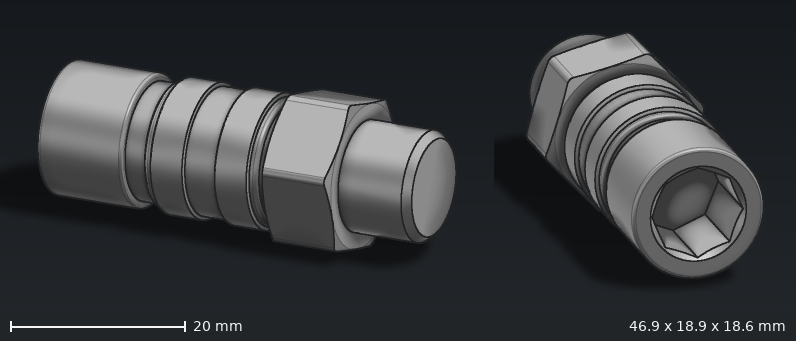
import cadquery as cq
import math

length = 46.9
sleeve_end = 10.9
collar_start = 13.45
band_width = 4.3
first_band_start = 14.5
second_band_start = 22.7
collar_end = 28.0
hex_start = 29.25
hex_end = 37.9

sleeve_diameter = 15.8
neck_diameter = 14.0
collar_diameter = 15.1
band_diameter = 16.05
spigot_diameter = 13.15
spigot_tip_diameter = 11.45

sleeve_rounding = 0.4
collar_rounding = 0.55
band_side_slope = 0.15
spigot_chamfer_length = 0.95

hex_sides = 6
hex_across_flats = 17.0
hex_corner_rounding = 1.0
hex_turn = -13.0
hex_end_diameter = 17.0
hex_chamfer_angle = 18.0

socket_sides = 8
socket_diameter = 10.85
socket_mouth_diameter = 11.45
socket_depth = 10.3
mouth_depth = 0.7


def cylinder(start, end, diameter):
    """Round bar along X between two places."""
    return cq.Workplane("YZ").workplane(offset=start).circle(diameter / 2).extrude(end - start)


def sleeve():
    """Plain end sleeve with both rims rounded."""
    return cylinder(0, sleeve_end, sleeve_diameter).edges().fillet(sleeve_rounding)


def collar():
    """Rounded collar carrying two raised bands with slightly sloping sides."""
    body = cylinder(collar_start, collar_end, collar_diameter).edges().fillet(collar_rounding)
    band_height = (band_diameter - collar_diameter) / 2
    for start in (first_band_start, second_band_start):
        band = cylinder(start, start + band_width, band_diameter)
        body = body.union(band.edges().chamfer(band_side_slope, band_height))
    return body


def hex_nut():
    """Hexagon with rounded corners and both ends bevelled by cones."""
    across_corners = hex_across_flats / math.cos(math.pi / hex_sides)
    width = hex_end - hex_start
    nut = (
        cq.Workplane("YZ")
        .workplane(offset=hex_start)
        .polygon(hex_sides, across_corners)
        .extrude(width)
        .edges("|X")
        .fillet(hex_corner_rounding)
        .rotate((0, 0, 0), (1, 0, 0), hex_turn)
    )
    bevel_height = (across_corners - hex_end_diameter) / 2
    bevel_length = bevel_height * math.tan(math.radians(hex_chamfer_angle))
    envelope = cylinder(hex_start, hex_end, across_corners).edges().chamfer(bevel_length, bevel_height)
    return nut.intersect(envelope)


def spigot():
    """Plain end bar with a bevelled tip."""
    bevel_height = (spigot_diameter - spigot_tip_diameter) / 2
    return (
        cylinder(hex_end, length, spigot_diameter)
        .faces(">X")
        .chamfer(spigot_chamfer_length, bevel_height)
    )


def socket():
    """Octagonal pocket with a conical lead-in that narrows to the octagon's inscribed circle."""
    inscribed_radius = socket_diameter / 2 * math.cos(math.pi / socket_sides)
    octagon = cq.Workplane("YZ").polygon(socket_sides, socket_diameter).extrude(socket_depth)
    mouth = (
        cq.Workplane("YZ")
        .circle(socket_mouth_diameter / 2)
        .workplane(offset=mouth_depth)
        .circle(inscribed_radius)
        .loft()
    )
    return octagon.union(mouth)


neck = cylinder(sleeve_end, hex_start, neck_diameter)
result = sleeve().union(neck).union(collar()).union(hex_nut()).union(spigot()).cut(socket())